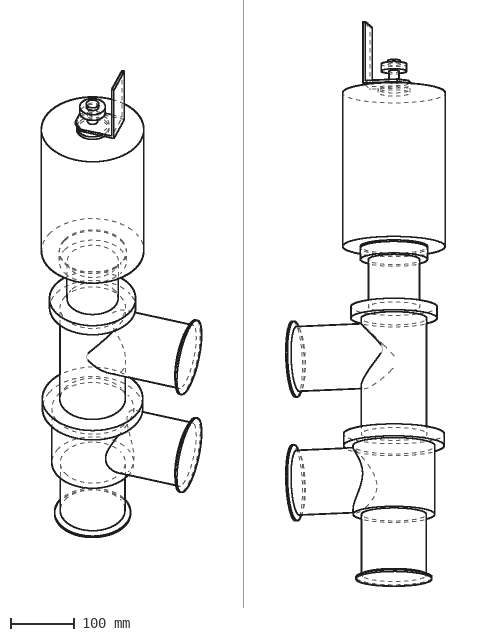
import cadquery as cq


PIPE_DIAMETER = 101.6
FERRULE_DIAMETER = 119.0
FERRULE_RIM = 2.85
FERRULE_LENGTH = 6.5
PORT_REACH = 160.0
LOWER_PORT_HEIGHT = 160.0
PORT_SPACING = 197.2
UPPER_PORT_HEIGHT = LOWER_PORT_HEIGHT + PORT_SPACING

LOWER_BODY_DIAMETER = 128.0
LOWER_CLAMP_DIAMETER = 157.5
UPPER_TUBE_DIAMETER = 102.6
UPPER_CLAMP_DIAMETER = 135.0
NECK_DIAMETER = 80.0
COLLAR_DIAMETER = 105.0
LOWER_BODY_BOTTOM = 103.0
LOWER_CLAMP_BOTTOM = 212.4
LOWER_CLAMP_TOP = 231.4
UPPER_CLAMP_BOTTOM = 415.5
UPPER_CLAMP_TOP = 433.8
COLLAR_BOTTOM = 509.0
HOUSING_TOP = 527.3

CYLINDER_DIAMETER = 160.5
CYLINDER_LENGTH = 245.0
BOSS_DIAMETER = 50.0
BOTTOM_SPIGOT_LENGTH = 2.5
TOP_SPIGOT_LENGTH = 5.0
CYLINDER_BOTTOM = HOUSING_TOP + BOTTOM_SPIGOT_LENGTH
CYLINDER_TOP = CYLINDER_BOTTOM + CYLINDER_LENGTH
ACTUATOR_TOP = CYLINDER_TOP + TOP_SPIGOT_LENGTH

HEAD_BASE_HEIGHT = 7.5
BRACKET_THICKNESS = 4.0
BRACKET_WIDTH = 50.0
BRACKET_REACH = 44.0
BRACKET_CORNER = 14.0
BRACKET_TOP = 884.8
STEM_DIAMETER = 16.0
KNOB_DIAMETER = 40.0
KNOB_BOTTOM = 809.0
KNOB_TOP = 820.5
TIP_DIAMETER = 19.5
TIP_TOP = 826.0
BRACKET_BOTTOM = ACTUATOR_TOP + HEAD_BASE_HEIGHT


def disc(diameter, bottom, top):
    """Upright cylinder on the valve axis between two levels."""
    return cq.Workplane("XY").workplane(offset=bottom).circle(diameter / 2).extrude(top - bottom)


def port(length):
    """Pipe along +Z, ending at Z = 0 in a ferrule with a conical back."""
    pipe_radius = PIPE_DIAMETER / 2
    rim_radius = FERRULE_DIAMETER / 2
    return (
        cq.Workplane("XZ")
        .lineTo(rim_radius, 0)
        .lineTo(rim_radius, FERRULE_RIM)
        .lineTo(pipe_radius, FERRULE_LENGTH)
        .lineTo(pipe_radius, length)
        .lineTo(0, length)
        .close()
        .revolve(360, (0, 0, 0), (0, 1, 0))
    )


def side_port(height):
    """Port running from the valve axis out to +X at the given height."""
    return port(PORT_REACH).rotate((0, 0, 0), (0, 1, 0), -90).translate((PORT_REACH, 0, height))


def make_housing():
    """Lower and upper chambers, clamp rings, neck, collar and three ports."""
    housing = port(LOWER_BODY_BOTTOM)
    sections = [
        disc(LOWER_BODY_DIAMETER, LOWER_BODY_BOTTOM, LOWER_CLAMP_BOTTOM),
        disc(LOWER_CLAMP_DIAMETER, LOWER_CLAMP_BOTTOM, LOWER_CLAMP_TOP),
        disc(UPPER_TUBE_DIAMETER, LOWER_CLAMP_TOP, UPPER_CLAMP_BOTTOM),
        disc(UPPER_CLAMP_DIAMETER, UPPER_CLAMP_BOTTOM, UPPER_CLAMP_TOP),
        disc(NECK_DIAMETER, UPPER_CLAMP_TOP, COLLAR_BOTTOM),
        disc(COLLAR_DIAMETER, COLLAR_BOTTOM, HOUSING_TOP),
    ]
    for section in sections:
        housing = housing.union(section)
    for height in (LOWER_PORT_HEIGHT, UPPER_PORT_HEIGHT):
        housing = housing.union(side_port(height))
    return housing


def make_actuator():
    """Large cylinder between a spigot on the collar and one under the head."""
    return (
        disc(COLLAR_DIAMETER, HOUSING_TOP, CYLINDER_BOTTOM)
        .union(disc(CYLINDER_DIAMETER, CYLINDER_BOTTOM, CYLINDER_TOP))
        .union(disc(BOSS_DIAMETER, CYLINDER_TOP, ACTUATOR_TOP))
    )


def make_bracket():
    """L-shaped sheet: a foot with two cut corners and an upright at its +X end."""
    half_width = BRACKET_WIDTH / 2
    foot = (
        cq.Workplane("XY")
        .box(half_width + BRACKET_REACH, BRACKET_WIDTH, BRACKET_THICKNESS, centered=(False, True, False))
        .edges("|Z and <X")
        .chamfer(BRACKET_CORNER)
        .translate((-half_width, 0, BRACKET_BOTTOM))
    )
    upright = (
        cq.Workplane("XY")
        .box(BRACKET_THICKNESS, BRACKET_WIDTH, BRACKET_TOP - BRACKET_BOTTOM, centered=(False, True, False))
        .translate((BRACKET_REACH - BRACKET_THICKNESS, 0, BRACKET_BOTTOM))
    )
    return foot.union(upright)


def make_indicator_head():
    """Base disc carrying the bracket, with a stem, knob and tip above it."""
    return (
        disc(BOSS_DIAMETER, ACTUATOR_TOP, BRACKET_BOTTOM)
        .union(make_bracket())
        .union(disc(STEM_DIAMETER, BRACKET_BOTTOM, KNOB_BOTTOM))
        .union(disc(KNOB_DIAMETER, KNOB_BOTTOM, KNOB_TOP))
        .union(disc(TIP_DIAMETER, KNOB_TOP, TIP_TOP))
    )


housing = make_housing()
actuator = make_actuator()
indicator_head = make_indicator_head()

bodies = [housing, actuator, indicator_head]
result = cq.Compound.makeCompound([body.solids().val() for body in bodies])